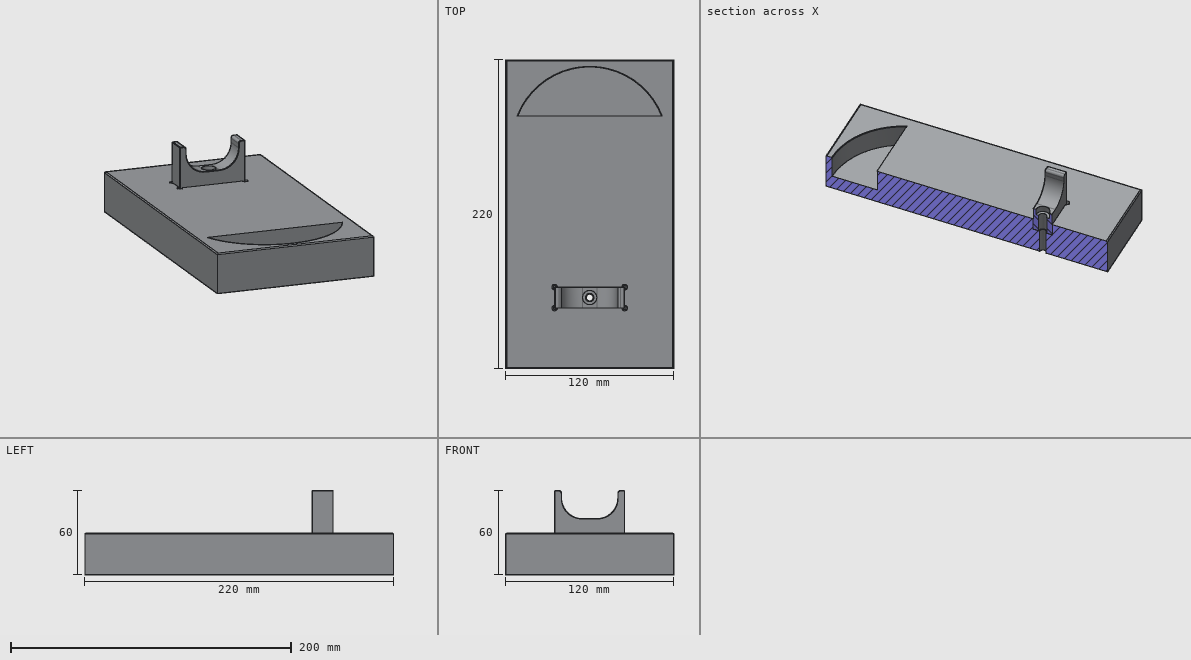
import cadquery as cq

BASE_WIDTH = 120.0
BASE_LENGTH = 220
BASE_HEIGHT = 30.0
BASE_CHAMFER = 0.9

TRAY_RADIUS = 55
TRAY_CENTER_Y = 50.0
TRAY_EDGE_Y = 70.0
TRAY_DEPTH = 18.0
TRAY_CHAMFER = 0.5

CRADLE_Y = -59.5
CRADLE_WIDTH = 50.0
CRADLE_THICKNESS = 15.0
CRADLE_TOP = 60.0
SADDLE_WIDTH = 40.0
SADDLE_DEPTH = SADDLE_WIDTH / 2
SADDLE_RADIUS = 14.7
TIP_FILLET = 2.0
CRADLE_CHAMFER = 0.5

SOCKET_DEPTH = 10.0
RELIEF_TOP_DIAMETER = 4.0
RELIEF_FLOOR_DIAMETER = 2.0

CRADLE_HOLE_DIAMETER = 6.0
BASE_HOLE_DIAMETER = 4.8
HEAD_DIAMETER = 10.1
HEAD_DEPTH = 5.0

SOCKET_FLOOR = BASE_HEIGHT - SOCKET_DEPTH
SADDLE_FLOOR = CRADLE_TOP - SADDLE_DEPTH


def cylinder(diameter, bottom, top):
    """Vertical cylinder on the cradle axis."""
    return (
        cq.Workplane("XY", origin=(0, CRADLE_Y, bottom))
        .circle(diameter / 2)
        .extrude(top - bottom)
    )


def make_tray():
    """Circular segment to be cut from the top of the base."""
    half_chord = (TRAY_RADIUS**2 - (TRAY_EDGE_Y - TRAY_CENTER_Y) ** 2) ** 0.5
    return (
        cq.Workplane("XY", origin=(0, 0, BASE_HEIGHT - TRAY_DEPTH))
        .moveTo(-half_chord, TRAY_EDGE_Y)
        .threePointArc((0, TRAY_CENTER_Y + TRAY_RADIUS), (half_chord, TRAY_EDGE_Y))
        .close()
        .extrude(TRAY_DEPTH)
    )


def make_socket():
    """Pocket for the cradle foot, with a tapered round relief at each corner."""
    floor = cq.Workplane("XY", origin=(0, CRADLE_Y, SOCKET_FLOOR))
    pocket = floor.rect(CRADLE_WIDTH, CRADLE_THICKNESS).extrude(SOCKET_DEPTH)
    relief = cq.Solid.makeCone(RELIEF_FLOOR_DIAMETER / 2, RELIEF_TOP_DIAMETER / 2, SOCKET_DEPTH)
    reliefs = (
        floor.rect(CRADLE_WIDTH, CRADLE_THICKNESS, forConstruction=True)
        .vertices()
        .eachpoint(relief, True)
    )
    return pocket.union(reliefs)


def make_base():
    """Block with the tray recess, the cradle socket and the screw hole."""
    block = (
        cq.Workplane("XY")
        .box(BASE_WIDTH, BASE_LENGTH, BASE_HEIGHT, centered=(True, True, False))
        .faces(">Z")
        .chamfer(BASE_CHAMFER)
        .cut(make_tray())
    )
    tray_rim = cq.selectors.BoxSelector(
        (-TRAY_RADIUS, TRAY_EDGE_Y + TRAY_CHAMFER, BASE_HEIGHT - TRAY_CHAMFER),
        (TRAY_RADIUS, TRAY_CENTER_Y + TRAY_RADIUS, BASE_HEIGHT + TRAY_CHAMFER),
    )
    return (
        block.edges(tray_rim)
        .chamfer(TRAY_CHAMFER)
        .cut(make_socket())
        .cut(cylinder(BASE_HOLE_DIAMETER, 0, SOCKET_FLOOR))
    )


def make_cradle():
    """Saddle block bevelled round its back face and along its outer top edges."""
    foot_to_top = CRADLE_TOP - SOCKET_FLOOR
    block = cq.Workplane("XY", origin=(0, CRADLE_Y, SOCKET_FLOOR)).box(
        CRADLE_WIDTH, CRADLE_THICKNESS, foot_to_top, centered=(True, True, False)
    )
    saddle = (
        cq.Workplane("XY", origin=(0, CRADLE_Y, SADDLE_FLOOR))
        .box(SADDLE_WIDTH, CRADLE_THICKNESS, SADDLE_DEPTH, centered=(True, True, False))
        .edges("|Y and <Z")
        .fillet(SADDLE_RADIUS)
    )
    tip_edges = cq.selectors.BoxSelector(
        (-SADDLE_WIDTH / 2 - TIP_FILLET, CRADLE_Y - CRADLE_THICKNESS, CRADLE_TOP - TIP_FILLET),
        (SADDLE_WIDTH / 2 + TIP_FILLET, CRADLE_Y + CRADLE_THICKNESS, CRADLE_TOP + TIP_FILLET),
    )
    return (
        block.cut(saddle)
        .edges("|Y")
        .edges(tip_edges)
        .fillet(TIP_FILLET)
        .faces(">Y or <X or >X")
        .edges("(not <Z) and (not <Y)")
        .chamfer(CRADLE_CHAMFER)
        .cut(cylinder(CRADLE_HOLE_DIAMETER, SOCKET_FLOOR, SADDLE_FLOOR))
        .cut(cylinder(HEAD_DIAMETER, SADDLE_FLOOR - HEAD_DEPTH, SADDLE_FLOOR))
    )


base = make_base()
cradle = make_cradle()
result = cq.Compound.makeCompound([base.val(), cradle.val()])